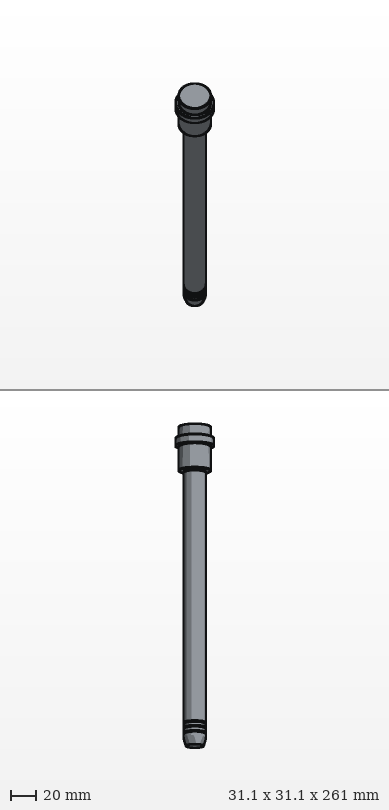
import cadquery as cq

total_length = 261.0

head_radius = 13.0
head_length = 36.0
head_chamfer = 0.5
collar_radius = 15.53
collar_top = total_length - 9.1
collar_height = 6.3
collar_chamfer = 0.5

relief_width = 0.8
relief_depth = 0.5

shaft_radius = 9.0
neck_radius = 8.48
neck_length = 1.5

tip_length = 7.0
tip_radius = 7.0
tip_bulge = 0.3
tip_chamfer = 0.3

groove_heights = (10.5, 14.5, 18.5)
groove_width = 1.3
groove_depth = 0.3


def cylinder(radius, bottom, top):
    return cq.Workplane("XY").workplane(offset=bottom).circle(radius).extrude(top - bottom)


def ring(outer_radius, inner_radius, bottom, top):
    return cylinder(outer_radius, bottom, top).cut(cylinder(inner_radius, bottom, top))


def spin(profile):
    """Revolve a profile drawn in the XZ plane around the Z axis."""
    return profile.revolve(360, (0, 0, 0), (0, 1, 0))


def make_shaft():
    """Tip, shaft and neck as one revolved outline, with the grooves cut in."""
    head_bottom = total_length - head_length
    bulge_radius = (shaft_radius + tip_radius) / 2 + tip_bulge
    shaft = spin(
        cq.Workplane("XZ")
        .lineTo(tip_radius, 0)
        .threePointArc((bulge_radius, tip_length / 2), (shaft_radius, tip_length))
        .lineTo(shaft_radius, head_bottom - neck_length)
        .lineTo(neck_radius, head_bottom)
        .lineTo(0, head_bottom)
        .close()
    )
    shaft = shaft.faces("<Z").edges().chamfer(tip_chamfer)
    for height in groove_heights:
        groove = (
            cq.Workplane("XZ")
            .moveTo(shaft_radius, height - groove_width / 2)
            .lineTo(shaft_radius - groove_depth, height)
            .lineTo(shaft_radius, height + groove_width / 2)
            .close()
        )
        shaft = shaft.cut(spin(groove))
    return shaft


def make_head():
    collar_bottom = collar_top - collar_height
    head = cylinder(head_radius, total_length - head_length, total_length)
    head = head.faces("<Z or >Z").edges().chamfer(head_chamfer)
    for bottom in (collar_top, collar_bottom - relief_width):
        head = head.cut(ring(head_radius, head_radius - relief_depth, bottom, bottom + relief_width))
    collar = cylinder(collar_radius, collar_bottom, collar_top).faces(">Z").edges().chamfer(collar_chamfer)
    return head.union(collar)


result = make_shaft().union(make_head())